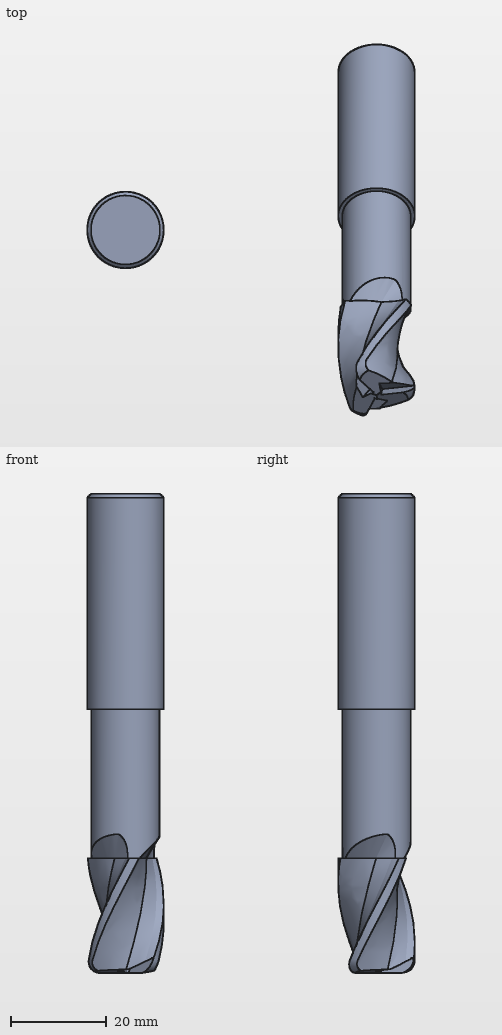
import cadquery as cq
import math

total_length = 100.0
shank_diameter = 16.0
shank_bottom = 55.0
shank_chamfer = 0.8
neck_diameter = 14.3

head_length = 24.0
head_radius = shank_diameter / 2
stock_radius = head_radius + 0.5
corner_radius = 2.8
flute_count = 3
helix_lead = 96.0
flute_pitch_angle = 360.0 / flute_count
head_twist = 360.0 * head_length / helix_lead

edge_angle = 7.0
land_width_angle = 10.5
rake_radius, rake_angle = 6.5, 0.0
valley_radius, valley_angle = 4.4, -31.0
back_radius, back_angle = 5.7, -78.0
back_end_angle = edge_angle + land_width_angle - flute_pitch_angle

runout_length = 5.4
runout_shift = 3.0
runout_twist = 360.0 * runout_length / helix_lead
clearance_radius = 14.0

gash_depth = 3.2
gash_width = 5.0
gash_lean = 1.4
gash_start = 1.0
end_relief_rise = 1.3
end_relief_width = 7.0
tool_overrun = 1.0


def polar(radius, angle):
    """Point at a radius and an angle measured from -Y towards +X."""
    theta = math.radians(angle)
    return radius * math.sin(theta), -radius * math.cos(theta)


def make_head_blank():
    """Round bar with a rounded lower corner."""
    blank = cq.Workplane("XY").circle(head_radius).extrude(head_length)
    return blank.faces("<Z").edges().fillet(corner_radius)


def make_fluted_bar():
    """Twisted bar whose section has one land, rake face and back per tooth.

    The lands stand proud of the head radius, so the blank trims them to size.
    """
    bottom_turn = -head_twist
    section = cq.Workplane("XY").moveTo(*polar(stock_radius, back_end_angle + bottom_turn))
    for tooth in range(flute_count):
        turn = bottom_turn + tooth * flute_pitch_angle
        section = (
            section
            .threePointArc(polar(back_radius, back_angle + turn), polar(valley_radius, valley_angle + turn))
            .lineTo(*polar(rake_radius, rake_angle + turn))
            .lineTo(*polar(stock_radius, edge_angle + turn))
            .threePointArc(
                polar(stock_radius, edge_angle + land_width_angle / 2 + turn),
                polar(stock_radius, edge_angle + land_width_angle + turn),
            )
        )
    return section.close().twistExtrude(head_length, head_twist)


def make_end_wedge(points, start):
    """Wedge along the radial end edge; points are (distance behind the edge, height)."""
    wedge = cq.Workplane("YZ", origin=(start, 0, 0)).polyline(points).close()
    return wedge.extrude(head_radius + tool_overrun - start)


def make_cutting_head():
    head = make_head_blank().intersect(make_fluted_bar())
    gash = make_end_wedge(
        [(0, -tool_overrun), (0, 0), (gash_lean, gash_depth), (-gash_width, -tool_overrun)], gash_start
    )
    relief = make_end_wedge(
        [(0, -tool_overrun), (0, 0), (end_relief_width, end_relief_rise), (end_relief_width, -tool_overrun)],
        0,
    )
    for tooth in range(flute_count):
        turn = edge_angle - head_twist - 90 + tooth * flute_pitch_angle
        for cutter in (gash, relief):
            head = head.cut(cutter.rotate((0, 0, 0), (0, 0, 1), turn))
    return head


def make_runout_wire(height, turn, shift):
    """Flute outline, turned about the axis and moved outward along its valley."""
    shift_x, shift_y = polar(shift, valley_angle + turn)

    def place(radius, angle):
        x, y = polar(radius, angle + turn)
        return cq.Vector(x + shift_x, y + shift_y, height)

    back_end = place(head_radius, back_end_angle)
    valley = place(valley_radius, valley_angle)
    edge = place(head_radius, edge_angle)
    outer_edge = place(clearance_radius, edge_angle)
    outer_back = place(clearance_radius, back_end_angle)
    return cq.Wire.assembleEdges([
        cq.Edge.makeThreePointArc(back_end, place(back_radius, back_angle), valley),
        cq.Edge.makeThreePointArc(valley, place(rake_radius, rake_angle), edge),
        cq.Edge.makeLine(edge, outer_edge),
        cq.Edge.makeThreePointArc(outer_edge, place(clearance_radius, valley_angle), outer_back),
        cq.Edge.makeLine(outer_back, back_end),
    ])


def make_shank():
    shank = (
        cq.Workplane("XY", origin=(0, 0, shank_bottom))
        .circle(shank_diameter / 2)
        .extrude(total_length - shank_bottom)
        .faces(">Z").edges().chamfer(shank_chamfer)
    )
    neck = (
        cq.Workplane("XY", origin=(0, 0, head_length))
        .circle(neck_diameter / 2)
        .extrude(shank_bottom - head_length)
    )
    shank = shank.union(neck)
    runout = cq.Solid.makeLoft(
        [
            make_runout_wire(head_length, 0, 0),
            make_runout_wire(head_length + runout_length, runout_twist, runout_shift),
        ],
        True,
    )
    for tooth in range(flute_count):
        shank = shank.cut(cq.Workplane(runout.rotate((0, 0, 0), (0, 0, 1), tooth * flute_pitch_angle)))
    return shank


shank = make_shank()
cutting_head = make_cutting_head()
result = cq.Compound.makeCompound([shank.val(), cutting_head.val()])